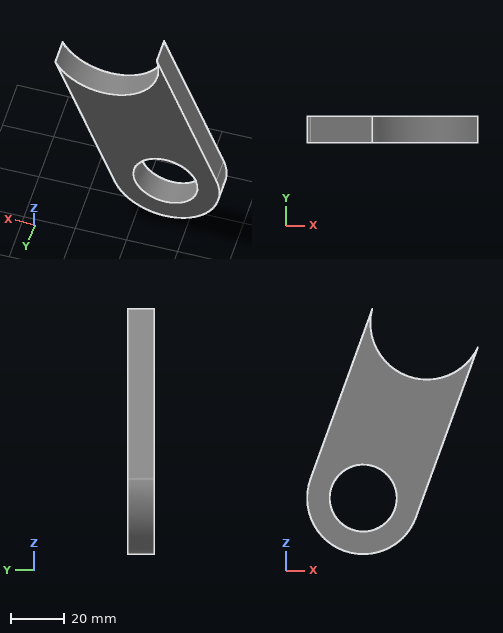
import cadquery as cq

thickness = 10.0
end_radius = 21.1
hole_radius = 12.5
saddle_radius = 21.2
center_distance = 70.0
lean_angle = 20.0


def disc(radius, height):
    """Cylinder along Y, spanning the full plate thickness."""
    return (
        cq.Workplane("XZ", origin=(0, thickness / 2, height))
        .circle(radius)
        .extrude(thickness)
    )


arm = cq.Workplane("XY").box(
    2 * end_radius, thickness, center_distance, centered=(True, True, False)
)

link = arm.union(disc(end_radius, 0))
link = link.cut(disc(hole_radius, 0))
link = link.cut(disc(saddle_radius, center_distance))

result = link.rotate((0, 0, 0), (0, 1, 0), lean_angle)